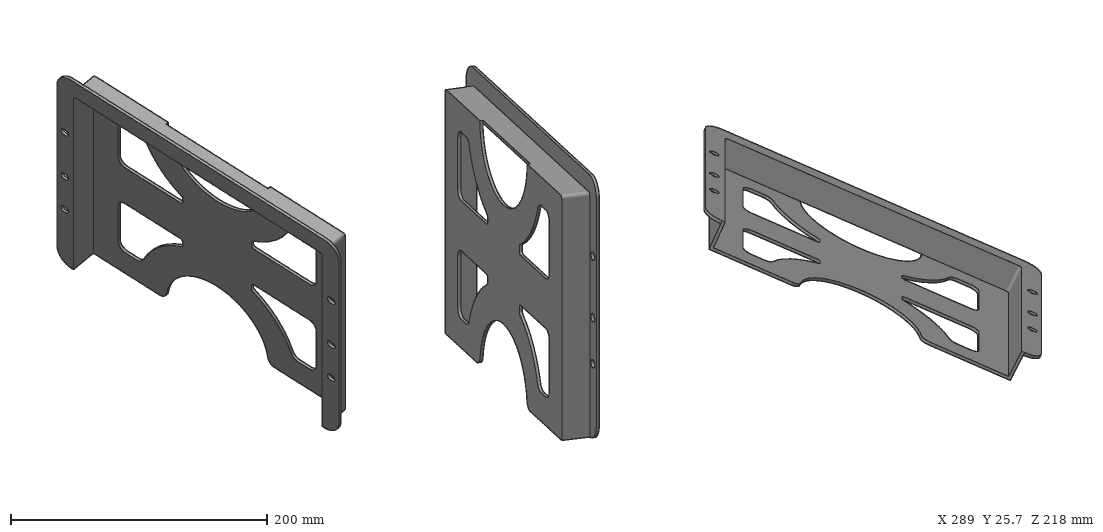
import cadquery as cq
import math

width = 289.0
depth = 25.7
height = 218.0
sheet = 2.5

top = height / 2
bottom = -height / 2
plate_front = depth - sheet

flange_corner_radius = 15.0
top_flange_width = 17.3

back_half_width = 129.5
front_half_width = 130.0
pan_outer_radius = 3.0
pan_inner_radius = 2.5
pan_inner_top = top - top_flange_width
pan_outer_top = pan_inner_top + sheet

cutout_radius = 52.3
cutout_corner_radius = 7.5
plate_middle = (pan_outer_top + bottom) / 2

rib_width = 29.0
window_arc_radius = cutout_radius + rib_width
window_outer_x = 101.5
window_inner_x = 35.2
window_near = 20.8
window_far = 77.7
window_outer_radius = 7.5
window_tip_radius = 7.5
window_inner_radius = 2.5

slot_length = 7.8
slot_width = 6.5
slot_x = 136.7
slot_heights = (51.0, 0.0, -38.5)


def front_plane(y, z):
    """Sketch plane facing -Y with its origin on the centre line; extrude by -d to go towards +Y."""
    return cq.Workplane("XZ", origin=(0, y, z))


def tapered_block(inset, y_back, z_top, corner_radius):
    """Block with flared sides, standing on the bottom edge, with rounded upper corners."""
    flare = (front_half_width - back_half_width) / depth
    front_x = front_half_width - inset
    back_x = front_x - flare * y_back
    outline = [(-front_x, 0), (front_x, 0), (back_x, y_back), (-back_x, y_back)]
    block = cq.Workplane("XY", origin=(0, 0, bottom)).polyline(outline).close().extrude(z_top - bottom)
    return block.faces(">Z").edges("not |X").fillet(corner_radius)


def window_cutter():
    """Upper right window: a rectangle whose upper inner corner follows an arc around the top cutout."""
    arc_disc = front_plane(plate_front, pan_outer_top).circle(window_arc_radius).extrude(-sheet)
    window = (
        front_plane(plate_front, plate_middle)
        .moveTo(window_inner_x, window_near)
        .lineTo(window_outer_x, window_near)
        .lineTo(window_outer_x, window_far)
        .lineTo(window_inner_x, window_far)
        .close()
        .extrude(-sheet)
        .cut(arc_disc)
    )
    window = window.edges("|Y").edges(">X").fillet(window_outer_radius)
    window = window.edges("|Y").edges("<X").fillet(window_inner_radius)
    tip_x = math.sqrt(window_arc_radius**2 - (pan_outer_top - plate_middle - window_far) ** 2)
    tip = cq.selectors.NearestToPointSelector((tip_x, depth - sheet / 2, plate_middle + window_far))
    return window.edges("|Y").edges(tip).fillet(window_tip_radius)


flange = front_plane(0, 0).rect(width, height).extrude(-sheet).edges("|Y").fillet(flange_corner_radius)
pan = tapered_block(0, depth, pan_outer_top, pan_outer_radius)
hollow = tapered_block(sheet, plate_front, pan_inner_top, pan_inner_radius)
body = flange.union(pan).cut(hollow)

for centre_z in (pan_outer_top, bottom):
    body = body.cut(front_plane(plate_front, centre_z).circle(cutout_radius).extrude(-sheet))

margin = 0.3
corner_box = cq.selectors.BoxSelector(
    (-cutout_radius - margin, plate_front, bottom - margin),
    (cutout_radius + margin, depth, bottom + margin),
)
body = body.edges("|Y").edges(corner_box).fillet(cutout_corner_radius)

window = window_cutter()
upper_windows = window.union(window.mirror("YZ"))
lower_windows = upper_windows.mirror("XY", (0, 0, plate_middle))
body = body.cut(upper_windows).cut(lower_windows)

slot_centres = [(side * slot_x, slot_z) for side in (-1, 1) for slot_z in slot_heights]
slots = front_plane(0, plate_middle).pushPoints(slot_centres).slot2D(slot_length, slot_width).extrude(-sheet)

result = body.cut(slots)